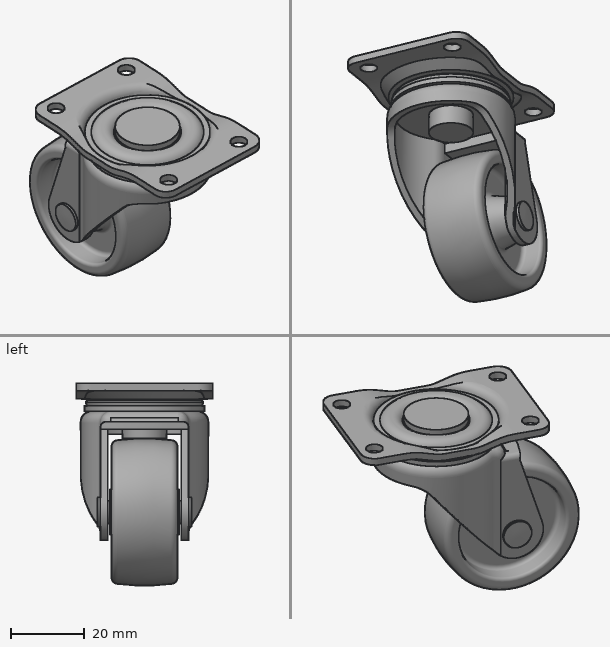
import cadquery as cq
import math


OVERALL_LENGTH = 66.0
OVERALL_HEIGHT = 55.0
SHEET = 2.05
OUT_OF_REACH = 39.6
MID_ARC = math.sqrt(0.5)

PLATE_LENGTH = 54.1
PLATE_WIDTH = 37.0
PLATE_CORNER_RADIUS = 3.95
BOLT_SPACING_X = 45.0
BOLT_SPACING_Y = 25.95
BOLT_HOLE_RADIUS = 2.3
DIP_DEPTH = 2.25
BOWL_DEPTH = 2.3
DIP_HALF_LENGTH = 15.9
DIP_FLAT_HALF_LENGTH = 4.1
DIP_SLOPE_ANGLE = math.radians(16.5)
DIP_UPPER_BEND_SHARE = 0.64
BOWL_RIM_RADIUS = 19.8
BOWL_FLOOR_RADIUS = 16.95
PLATE_UNDERSIDE_Z = -BOWL_DEPTH - SHEET

BEAD_TOP_Z = -0.8
BEAD_OUTER_RADIUS = 12.7
BEAD_INNER_RADIUS = 11.75
BEAD_BEND_RADIUS = 3.0

KINGPIN_HEAD_RADIUS = BEAD_INNER_RADIUS - BEAD_BEND_RADIUS
KINGPIN_TOP_Z = -0.45
KINGPIN_SHANK_RADIUS = 3.95
KINGPIN_FOOT_RADIUS = 6.0
KINGPIN_FOOT_Z = -15.0

COLLAR_TOP_RADIUS = 14.7
COLLAR_SHOULDER_RADIUS = 15.5
COLLAR_SHOULDER_Z = -4.7
COLLAR_RIM_RADIUS = 16.0
COLLAR_RIM_Z = -5.15
COLLAR_WAIST_RADIUS = 15.65
RACE_RADIUS = 16.3
RACE_TOP_Z = -6.2

WHEEL_RADIUS = 20.0
WHEEL_X = PLATE_LENGTH / 2 - OVERALL_LENGTH + WHEEL_RADIUS
WHEEL_Z = WHEEL_RADIUS - OVERALL_HEIGHT
WHEEL_HALF_WIDTH = 9.0
TREAD_HALF_WIDTH = 7.3
TREAD_EDGE_RADIUS = 19.55
TREAD_FOOT_RADIUS = 17.55
RIM_OUTER_RADIUS = 16.4
RIM_EDGE_ROUND = 0.9
WEB_HALF_THICKNESS = 3.1
WEB_FILLET = 1.2
HUB_BASE_RADIUS = 7.4
HUB_FILLET = 1.45
HUB_END_RADIUS = 6.1
HUB_HALF_WIDTH = 9.45

AXLE_RADIUS = 3.1
AXLE_HEAD_RADIUS = 4.0
AXLE_HEAD_RIM = 0.8
AXLE_HEAD_HEIGHT = 0.9

FORK_TOP_Z = -7.65
FORK_REAR_Z = -13.9
DOME_RADIUS = 17.35
DOME_ROUND = 3.0
ARM_OUTER_Y = 11.95
ARM_BLEND_RADIUS = 3.3
ARM_END_RADIUS = 7.65
REAR_EDGE_ANGLE = math.radians(49.5)
REAR_EDGE_RADIUS = 6.35
NECK_X = -16.4
NECK_CORNER_RADIUS = 2.8
NECK_TOP_ROUND = 1.3
LIP_TOP_Z = -10.5
LIP_UNDERSIDE_Z = LIP_TOP_Z - SHEET
LIP_CORNER_X = -19.9
LIP_NOSE_X = -21.7
LIP_SIDE_ROUND = 1.45
LIP_ROOT_FILLET = 1.1


def box_between(x_range, y_range, z_range):
    size = [high - low for low, high in (x_range, y_range, z_range)]
    return cq.Workplane().box(*size, centered=False).translate((x_range[0], y_range[0], z_range[0]))


def disc(radius, bottom_z, top_z):
    return cq.Workplane().workplane(offset=bottom_z).circle(radius).extrude(top_z - bottom_z)


def turned_about_z(profile):
    """Revolve an XZ profile about the swivel axis."""
    return profile.close().revolve(360, (0, 0, 0), (0, 1, 0))


def turned_about_axle(profile):
    """Revolve an (axial, radial) profile about the wheel axis and set it at the wheel centre."""
    return profile.close().revolve(360, (0, 0, 0), (1, 0, 0)).translate((WHEEL_X, 0, WHEEL_Z))


def on_circle(centre, radius, angle):
    """Point on a circle, at an angle from the first axis of its plane."""
    return (centre[0] + radius * math.cos(angle), centre[1] + radius * math.sin(angle))


def arc_between(centre, radius, start_angle, end_angle):
    """Middle and end points of an arc about centre."""
    mid_angle = (start_angle + end_angle) / 2
    return on_circle(centre, radius, mid_angle), on_circle(centre, radius, end_angle)


def below_trough(drop):
    """Everything below the trough surface lowered by drop."""
    slope = math.tan(DIP_SLOPE_ANGLE)
    bend_slope = math.tan(DIP_SLOPE_ANGLE / 2)
    half_bend_slope = math.tan(DIP_SLOPE_ANGLE / 4)
    half_bend_share = math.sin(DIP_SLOPE_ANGLE / 2) / math.sin(DIP_SLOPE_ANGLE)

    run = DIP_HALF_LENGTH - DIP_FLAT_HALF_LENGTH
    bend_run = (run * slope - DIP_DEPTH) / (slope - bend_slope)
    upper_run = bend_run * DIP_UPPER_BEND_SHARE
    lower_run = bend_run - upper_run
    upper_half = upper_run * half_bend_share
    lower_half = lower_run * half_bend_share

    upper_mid = (DIP_HALF_LENGTH - upper_half, -upper_half * half_bend_slope)
    upper_end = (DIP_HALF_LENGTH - upper_run, -upper_run * bend_slope)
    lower_start = (DIP_FLAT_HALF_LENGTH + lower_run, lower_run * bend_slope - DIP_DEPTH)
    lower_mid = (DIP_FLAT_HALF_LENGTH + lower_half, lower_half * half_bend_slope - DIP_DEPTH)
    half_section = (
        cq.Workplane("XZ")
        .moveTo(0, -OUT_OF_REACH)
        .lineTo(PLATE_LENGTH / 2, -OUT_OF_REACH)
        .lineTo(PLATE_LENGTH / 2, 0)
        .lineTo(DIP_HALF_LENGTH, 0)
        .threePointArc(upper_mid, upper_end)
        .lineTo(*lower_start)
        .threePointArc(lower_mid, (DIP_FLAT_HALF_LENGTH, -DIP_DEPTH))
        .lineTo(0, -DIP_DEPTH)
        .close()
    )
    half = half_section.extrude(PLATE_WIDTH / 2, both=True)
    return half.union(half.mirror("YZ")).translate((0, 0, -drop))


def block_around_bowl(wall_foot_to_rim):
    """Turn everything below the bowl, given a profile that has reached the edge of its floor."""
    return turned_about_z(
        wall_foot_to_rim
        .lineTo(OUT_OF_REACH, 0)
        .lineTo(OUT_OF_REACH, -OUT_OF_REACH)
        .lineTo(0, -OUT_OF_REACH)
    )


def bowl_floor():
    return cq.Workplane("XZ").moveTo(0, -BOWL_DEPTH).lineTo(BOWL_FLOOR_RADIUS, -BOWL_DEPTH)


def below_bowl():
    """Everything below the bowl, whose wall rolls over level into the rim."""
    bowl_run = BOWL_RIM_RADIUS - BOWL_FLOOR_RADIUS
    roll_radius = (bowl_run ** 2 + BOWL_DEPTH ** 2) / (2 * BOWL_DEPTH)
    half_angle = math.asin(bowl_run / roll_radius) / 2
    roll_mid = (
        BOWL_RIM_RADIUS - roll_radius * math.sin(half_angle),
        roll_radius * (math.cos(half_angle) - 1),
    )
    return block_around_bowl(bowl_floor().threePointArc(roll_mid, (BOWL_RIM_RADIUS, 0)))


def below_underside():
    """Everything below the conical outside of the bowl."""
    return block_around_bowl(bowl_floor().lineTo(BOWL_RIM_RADIUS, 0)).translate((0, 0, -SHEET))


def bead_ring():
    """Rounded bead around the kingpin hole, down to the underside of the plate."""
    centre_z = BEAD_TOP_Z - BEAD_BEND_RADIUS
    outer_centre = (BEAD_OUTER_RADIUS, centre_z)
    inner_centre = (BEAD_INNER_RADIUS, centre_z)
    foot_angle = math.asin((-BOWL_DEPTH - centre_z) / BEAD_BEND_RADIUS)
    foot = on_circle(outer_centre, BEAD_BEND_RADIUS, foot_angle)
    outer_mid, outer_end = arc_between(outer_centre, BEAD_BEND_RADIUS, foot_angle, math.pi / 2)
    inner_mid, inner_end = arc_between(inner_centre, BEAD_BEND_RADIUS, math.pi / 2, math.pi)
    profile = (
        cq.Workplane("XZ")
        .moveTo(KINGPIN_HEAD_RADIUS, PLATE_UNDERSIDE_Z)
        .lineTo(foot[0], PLATE_UNDERSIDE_Z)
        .lineTo(*foot)
        .threePointArc(outer_mid, outer_end)
        .lineTo(BEAD_INNER_RADIUS, BEAD_TOP_Z)
        .threePointArc(inner_mid, inner_end)
    )
    return turned_about_z(profile)


def make_plate():
    upper = below_trough(0).intersect(below_bowl())
    lower = below_trough(SHEET).intersect(below_underside())
    outline = (
        cq.Workplane()
        .rect(PLATE_LENGTH, PLATE_WIDTH)
        .extrude(-OUT_OF_REACH / 2)
        .edges("|Z")
        .fillet(PLATE_CORNER_RADIUS)
    )
    bolt_holes = (
        cq.Workplane()
        .rect(BOLT_SPACING_X, BOLT_SPACING_Y, forConstruction=True)
        .vertices()
        .circle(BOLT_HOLE_RADIUS)
        .extrude(-OUT_OF_REACH)
    )
    kingpin_hole = disc(KINGPIN_HEAD_RADIUS, -OUT_OF_REACH, 0)
    sheet = upper.cut(lower).intersect(outline).cut(bolt_holes)
    return sheet.union(bead_ring()).cut(kingpin_hole)


def make_kingpin():
    head = disc(KINGPIN_HEAD_RADIUS, PLATE_UNDERSIDE_Z, KINGPIN_TOP_Z)
    shank = disc(KINGPIN_SHANK_RADIUS, FORK_TOP_Z - SHEET, PLATE_UNDERSIDE_Z)
    foot = disc(KINGPIN_FOOT_RADIUS, KINGPIN_FOOT_Z, FORK_TOP_Z - SHEET)
    return head.union(shank).union(foot)


def crown_form(inset):
    """Round dome blended into the arms, shrunk by inset, running down past the arm ends."""
    dome_radius = DOME_RADIUS - inset
    half_width = ARM_OUTER_Y - inset
    blend = ARM_BLEND_RADIUS + inset
    height = OVERALL_HEIGHT + FORK_TOP_Z

    blend_y = half_width + blend
    blend_x = -math.sqrt((dome_radius + blend) ** 2 - blend_y ** 2)
    to_dome = math.atan2(-blend_y, -blend_x)
    blend_mid, blend_end = arc_between((blend_x, blend_y), blend, -math.pi / 2, to_dome)

    return (
        cq.Workplane()
        .workplane(offset=FORK_TOP_Z - inset)
        .moveTo(NECK_X + inset, half_width)
        .lineTo(blend_x, half_width)
        .threePointArc(blend_mid, blend_end)
        .threePointArc((dome_radius, 0), (blend_end[0], -blend_end[1]))
        .threePointArc((blend_mid[0], -blend_mid[1]), (blend_x, -half_width))
        .lineTo(NECK_X + inset, -half_width)
        .close()
        .extrude(-height)
    )


def arm_form(inset):
    """Block spanning both arms and the lip, shrunk by inset at the sides and the top."""
    half_width = ARM_OUTER_Y - inset
    return box_between((-OUT_OF_REACH, NECK_X + SHEET), (-half_width, half_width),
                       (-OVERALL_HEIGHT, LIP_TOP_Z - inset))


def lip_trim():
    """Block that trims the lip, above its underside, to a bowed nose."""
    return (
        cq.Workplane()
        .workplane(offset=LIP_UNDERSIDE_Z)
        .moveTo(-OUT_OF_REACH, -ARM_OUTER_Y)
        .lineTo(LIP_CORNER_X, -ARM_OUTER_Y)
        .threePointArc((LIP_NOSE_X, 0), (LIP_CORNER_X, ARM_OUTER_Y))
        .lineTo(-OUT_OF_REACH, ARM_OUTER_Y)
        .close()
        .extrude(SHEET)
    )


def spandrel(corner_x, corner_z, x_side, z_side, radius, half_width):
    """Bar across Y that fills a square XZ corner up to an arc tangent to both of its legs."""
    sag = radius * (1 - MID_ARC)
    return (
        cq.Workplane("XZ")
        .moveTo(corner_x, corner_z)
        .lineTo(corner_x, corner_z + z_side * radius)
        .threePointArc(
            (corner_x + x_side * sag, corner_z + z_side * sag),
            (corner_x + x_side * radius, corner_z),
        )
        .close()
        .extrude(half_width, both=True)
    )


def fork_side_profile():
    """Side shape of the fork, extruded across its whole width."""
    corner_x = LIP_CORNER_X - WHEEL_X
    corner_z = LIP_UNDERSIDE_Z - WHEEL_Z
    corner_distance = math.hypot(corner_x, corner_z)
    front_angle = math.atan2(corner_z, corner_x) + math.acos(ARM_END_RADIUS / corner_distance)
    rear_angle = REAR_EDGE_ANGLE - math.pi / 2
    axle_centre = (WHEEL_X, WHEEL_Z)
    full_turn = 2 * math.pi
    end_mid, end_rear = arc_between(axle_centre, ARM_END_RADIUS, front_angle, rear_angle + full_turn)
    end_front = on_circle(axle_centre, ARM_END_RADIUS, front_angle)

    meet_x = end_rear[0] + (FORK_REAR_Z - end_rear[1]) / math.tan(REAR_EDGE_ANGLE)
    reach = REAR_EDGE_RADIUS * math.tan(REAR_EDGE_ANGLE / 2)
    round_centre = (meet_x + reach, FORK_REAR_Z - REAR_EDGE_RADIUS)
    start_angle = REAR_EDGE_ANGLE + math.pi / 2
    round_start = on_circle(round_centre, REAR_EDGE_RADIUS, start_angle)
    round_mid, round_end = arc_between(round_centre, REAR_EDGE_RADIUS, start_angle, math.pi / 2)
    return (
        cq.Workplane("XZ")
        .moveTo(LIP_NOSE_X, FORK_TOP_Z)
        .lineTo(LIP_NOSE_X, LIP_UNDERSIDE_Z)
        .lineTo(LIP_CORNER_X, LIP_UNDERSIDE_Z)
        .lineTo(*end_front)
        .threePointArc(end_mid, end_rear)
        .lineTo(*round_start)
        .threePointArc(round_mid, round_end)
        .lineTo(DOME_RADIUS, FORK_REAR_Z)
        .lineTo(DOME_RADIUS, FORK_TOP_Z)
        .close()
        .extrude(OUT_OF_REACH, both=True)
    )


def bearing_collar():
    """Bearing rings between the fork and the plate."""
    profile = (
        cq.Workplane("XZ")
        .moveTo(0, PLATE_UNDERSIDE_Z)
        .lineTo(COLLAR_TOP_RADIUS, PLATE_UNDERSIDE_Z)
        .lineTo(COLLAR_SHOULDER_RADIUS, COLLAR_SHOULDER_Z)
        .lineTo(COLLAR_RIM_RADIUS, COLLAR_RIM_Z)
        .lineTo(COLLAR_WAIST_RADIUS, RACE_TOP_Z)
        .lineTo(RACE_RADIUS, RACE_TOP_Z)
        .lineTo(RACE_RADIUS, FORK_TOP_Z)
        .lineTo(0, FORK_TOP_Z)
    )
    return turned_about_z(profile)


def make_fork():
    crown = crown_form(0).edges("|Z and <X").fillet(NECK_CORNER_RADIUS)
    crown = crown.faces(">Z").edges("not <X").fillet(DOME_ROUND)
    crown = crown.cut(spandrel(NECK_X, FORK_TOP_Z, 1, -1, NECK_TOP_ROUND, ARM_OUTER_Y))
    arms = arm_form(0).faces(">Z").edges("|X").fillet(LIP_SIDE_ROUND).cut(lip_trim())
    neck_flat_half_width = ARM_OUTER_Y - NECK_CORNER_RADIUS
    lip_root = spandrel(NECK_X, LIP_TOP_Z, -1, 1, LIP_ROOT_FILLET, neck_flat_half_width)
    shell = crown.union(arms).union(lip_root).intersect(fork_side_profile())
    shell = shell.cut(crown_form(SHEET)).cut(arm_form(SHEET))
    axle_hole = (
        cq.Workplane("XZ")
        .center(WHEEL_X, WHEEL_Z)
        .circle(AXLE_RADIUS)
        .extrude(OUT_OF_REACH, both=True)
    )
    shank_hole = disc(KINGPIN_SHANK_RADIUS, FORK_TOP_Z - SHEET, PLATE_UNDERSIDE_Z)
    return shell.cut(axle_hole).union(bearing_collar()).cut(shank_hole)


def wheel_blank():
    """Wheel with its crowned tread and rounded shoulders, its sides still filled."""
    shoulder_mid_y = TREAD_HALF_WIDTH + (WHEEL_HALF_WIDTH - TREAD_HALF_WIDTH) * MID_ARC
    shoulder_mid_r = TREAD_FOOT_RADIUS + (TREAD_EDGE_RADIUS - TREAD_FOOT_RADIUS) * MID_ARC
    return turned_about_axle(
        cq.Workplane("YZ")
        .moveTo(HUB_HALF_WIDTH, AXLE_RADIUS)
        .lineTo(HUB_HALF_WIDTH, RIM_OUTER_RADIUS)
        .lineTo(WHEEL_HALF_WIDTH, RIM_OUTER_RADIUS)
        .lineTo(WHEEL_HALF_WIDTH, TREAD_FOOT_RADIUS)
        .threePointArc((shoulder_mid_y, shoulder_mid_r), (TREAD_HALF_WIDTH, TREAD_EDGE_RADIUS))
        .threePointArc((0, WHEEL_RADIUS), (-TREAD_HALF_WIDTH, TREAD_EDGE_RADIUS))
        .threePointArc((-shoulder_mid_y, shoulder_mid_r), (-WHEEL_HALF_WIDTH, TREAD_FOOT_RADIUS))
        .lineTo(-WHEEL_HALF_WIDTH, RIM_OUTER_RADIUS)
        .lineTo(-HUB_HALF_WIDTH, RIM_OUTER_RADIUS)
        .lineTo(-HUB_HALF_WIDTH, AXLE_RADIUS)
    )


def wheel_side_recess():
    """Ring removed from the +Y side, between the rounded rim and the conical hub."""
    rim_radius = RIM_OUTER_RADIUS - RIM_EDGE_ROUND
    rim_edge = WHEEL_HALF_WIDTH - RIM_EDGE_ROUND
    hub_edge = WEB_HALF_THICKNESS + HUB_FILLET
    web_edge = WEB_HALF_THICKNESS + WEB_FILLET
    return turned_about_axle(
        cq.Workplane("YZ")
        .moveTo(HUB_HALF_WIDTH, HUB_END_RADIUS)
        .lineTo(hub_edge, HUB_BASE_RADIUS)
        .threePointArc(
            (hub_edge - HUB_FILLET * MID_ARC, HUB_BASE_RADIUS + HUB_FILLET * (1 - MID_ARC)),
            (WEB_HALF_THICKNESS, HUB_BASE_RADIUS + HUB_FILLET),
        )
        .lineTo(WEB_HALF_THICKNESS, rim_radius - WEB_FILLET)
        .threePointArc(
            (web_edge - WEB_FILLET * MID_ARC, rim_radius - WEB_FILLET * (1 - MID_ARC)),
            (web_edge, rim_radius),
        )
        .lineTo(rim_edge, rim_radius)
        .threePointArc(
            (rim_edge + RIM_EDGE_ROUND * MID_ARC, RIM_OUTER_RADIUS - RIM_EDGE_ROUND * MID_ARC),
            (WHEEL_HALF_WIDTH, RIM_OUTER_RADIUS),
        )
        .lineTo(HUB_HALF_WIDTH, RIM_OUTER_RADIUS)
    )


def make_wheel():
    recess = wheel_side_recess()
    return wheel_blank().cut(recess).cut(recess.mirror("XZ"))


def make_axle():
    rim_y = ARM_OUTER_Y + AXLE_HEAD_RIM
    half = turned_about_axle(
        cq.Workplane("YZ")
        .moveTo(0, 0)
        .lineTo(0, AXLE_RADIUS)
        .lineTo(ARM_OUTER_Y, AXLE_RADIUS)
        .lineTo(ARM_OUTER_Y, AXLE_HEAD_RADIUS)
        .lineTo(rim_y, AXLE_HEAD_RADIUS)
        .lineTo(ARM_OUTER_Y + AXLE_HEAD_HEIGHT, 0)
    )
    return half.union(half.mirror("XZ"))


plate = make_plate().solids()
kingpin = make_kingpin().solids()
fork = make_fork().solids()
wheel = make_wheel().solids()
axle = make_axle().solids()

result = cq.Compound.makeCompound([plate.val(), kingpin.val(), fork.val(), wheel.val(), axle.val()])